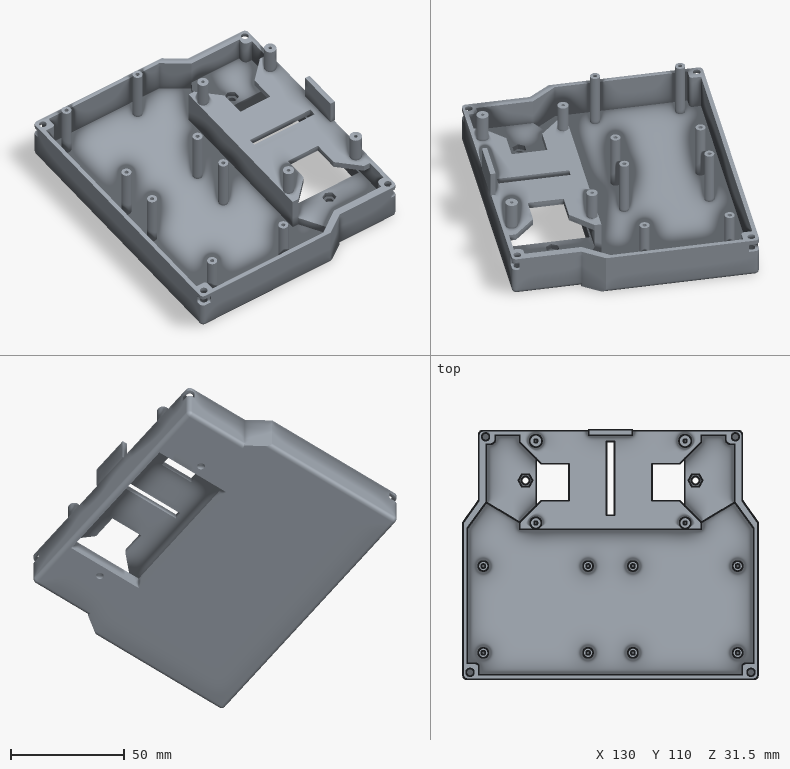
import cadquery as cq
import math


WIDTH = 130.0
TOTAL_DEPTH = 110.0
TAB_OVERHANG = 0.4
DEPTH = TOTAL_DEPTH - TAB_OVERHANG
HEIGHT = 19.0
WALL = 2.0
FLOOR = 3.0
EDGE_RADIUS = 2.0
NECK_WIDTH = 116.2
NECK_WALL = 3.4
SHOULDER_FRONT = 69.0
SHOULDER_BACK = 78.8
INNER_SHOULDER_FRONT = 66.5
INNER_SHOULDER_BACK = 78.0

DECK_HALF_WIDTH = 40.0
DECK_FRONT = 66.2
DECK_THICKNESS = 3.0
DECK_STRAIGHT = 3.0
DECK_BACK_STRAIGHT = 3.1
WINDOW_INNER_X = 18.3
WINDOW_FRONT = 78.8
WINDOW_BACK = 94.9
DECK_SLOT_WIDTH = 3.4
DECK_SLOT_FRONT = 72.4
DECK_SLOT_BACK = 104.8

THICK_FLOOR = 7.0
OPENING_HALF_WIDTH = 32.6
OPENING_MARGIN = 0.8

FLOOR_NUT_X = 37.5
FLOOR_NUT_Y = 87.6
FLOOR_NUT_FLATS = 5.5
FLOOR_NUT_DEPTH = 2.5
SCREW_DIAMETER = 3.4

BOSS_HOLE_INSET = 3.1
BACK_HOLE_INSET_Y = 2.7
FRONT_BOSS_SIZE = 7.0
FRONT_BOSS_RADIUS = 1.4
BACK_BOSS_SIZE_X = 7.4
BACK_BOSS_SIZE_Y = 6.0
BACK_BOSS_RADIUS = 2.2
NUT_SLOT_FLATS = 5.7
NUT_SLOT_COVER = 2.0
NUT_SLOT_HEIGHT = 3.9

BOARD_POST_DIAMETER = 4.4
BOARD_POST_HOLE = 1.8
BOARD_POST_TOP = 27.8
BOARD_POST_XS = (9.9, 56.0)
BOARD_POST_YS = (11.7, 49.9)

DECK_POST_X = 32.9
DECK_POST_HOLE = 1.5
DECK_POST_TOP = 31.5
DECK_POSTS = ((68.9, 5.0), (105.0, 5.5))

TAB_WIDTH = 19.4
TAB_THICKNESS = 2.3
TAB_TOP = 30.7

CAVITY_BACK = DEPTH - WALL


def box(x_min, x_max, y_min, y_max, z_min, z_max):
    return cq.Workplane("XY").box(
        x_max - x_min, y_max - y_min, z_max - z_min, centered=False
    ).translate((x_min, y_min, z_min))


def prism(points, z_min, z_max):
    return cq.Workplane("XY").workplane(offset=z_min).polyline(points).close().extrude(z_max - z_min)


def mirrored(points):
    """Close a right-hand outline with its reflection in the YZ plane."""
    return points + [(-x, y) for x, y in reversed(points)]


def cylinder(x, y, diameter, z_min, z_max):
    return cq.Workplane("XY").workplane(offset=z_min).center(x, y).circle(diameter / 2).extrude(z_max - z_min)


def hexagon(x, y, across_flats, z_min, z_max, turn=0.0):
    """Hexagonal prism with two corners on the X direction, turned by the given angle."""
    hexagon_prism = cq.Workplane("XY").polygon(6, across_flats / math.cos(math.pi / 6)).extrude(z_max - z_min)
    return hexagon_prism.rotate((0, 0, 0), (0, 0, 1), turn).translate((x, y, z_min))


def rounded_block(width):
    block = box(-width / 2, width / 2, 0, DEPTH, 0, HEIGHT)
    return block.edges("|Z").fillet(EDGE_RADIUS).faces("<Z").edges().fillet(EDGE_RADIUS)


def outer_body():
    shoulders = prism(
        mirrored([(WIDTH / 2, 0), (WIDTH / 2, SHOULDER_FRONT), (NECK_WIDTH / 2, SHOULDER_BACK)]), 0, HEIGHT
    )
    return rounded_block(WIDTH).intersect(shoulders).union(rounded_block(NECK_WIDTH))


def cavity():
    half_width = WIDTH / 2 - WALL
    neck_half_width = NECK_WIDTH / 2 - NECK_WALL
    outline = [
        (half_width, WALL),
        (half_width, INNER_SHOULDER_FRONT),
        (neck_half_width, INNER_SHOULDER_BACK),
        (neck_half_width, CAVITY_BACK),
    ]
    return prism(mirrored(outline), FLOOR, HEIGHT)


def thick_floor():
    neck_half_width = NECK_WIDTH / 2 - NECK_WALL
    outline = [
        (DECK_HALF_WIDTH, DECK_FRONT),
        (DECK_HALF_WIDTH, DECK_FRONT + DECK_STRAIGHT),
        (neck_half_width, INNER_SHOULDER_BACK),
        (neck_half_width, CAVITY_BACK),
    ]
    return prism(mirrored(outline), FLOOR, THICK_FLOOR)


def floor_opening():
    return box(
        -OPENING_HALF_WIDTH,
        OPENING_HALF_WIDTH,
        DECK_FRONT + DECK_STRAIGHT + OPENING_MARGIN,
        CAVITY_BACK - OPENING_MARGIN,
        0,
        THICK_FLOOR,
    )


def deck():
    front_corner = DECK_FRONT + DECK_STRAIGHT
    back_corner = CAVITY_BACK - DECK_BACK_STRAIGHT
    outline = [
        (DECK_HALF_WIDTH, DECK_FRONT),
        (DECK_HALF_WIDTH, front_corner),
        (DECK_HALF_WIDTH - (WINDOW_FRONT - front_corner), WINDOW_FRONT),
        (WINDOW_INNER_X, WINDOW_FRONT),
        (WINDOW_INNER_X, WINDOW_BACK),
        (DECK_HALF_WIDTH - (back_corner - WINDOW_BACK), WINDOW_BACK),
        (DECK_HALF_WIDTH, back_corner),
        (DECK_HALF_WIDTH, CAVITY_BACK),
    ]
    underside = HEIGHT - DECK_THICKNESS
    plate = prism(mirrored(outline), underside, HEIGHT)
    front_wall = box(-DECK_HALF_WIDTH, DECK_HALF_WIDTH, DECK_FRONT, front_corner, FLOOR, HEIGHT)
    slot = box(-DECK_SLOT_WIDTH / 2, DECK_SLOT_WIDTH / 2, DECK_SLOT_FRONT, DECK_SLOT_BACK, underside, HEIGHT)
    return plate.cut(slot).union(front_wall)


def corner_boss(side, is_back):
    """Block filling one cavity corner, with its free vertical edge rounded."""
    if is_back:
        x_min = NECK_WIDTH / 2 - BACK_BOSS_SIZE_X
        x_max = NECK_WIDTH / 2 - NECK_WALL
        block = box(x_min, x_max, DEPTH - BACK_BOSS_SIZE_Y, CAVITY_BACK, FLOOR, HEIGHT)
        block = block.faces("<X").edges("|Z").edges("<Y").fillet(BACK_BOSS_RADIUS)
    else:
        x_min = WIDTH / 2 - FRONT_BOSS_SIZE
        x_max = WIDTH / 2 - WALL
        block = box(x_min, x_max, WALL, FRONT_BOSS_SIZE, FLOOR, HEIGHT)
        block = block.faces("<X").edges("|Z").edges(">Y").fillet(FRONT_BOSS_RADIUS)
    return block if side > 0 else block.mirror("YZ")


def nut_slot(side, is_back):
    """Hexagonal nut slot open through the outer corner, with the screw hole crossing it."""
    z_max = HEIGHT - NUT_SLOT_COVER
    z_min = z_max - NUT_SLOT_HEIGHT
    half_face = NUT_SLOT_FLATS / 2 * math.tan(math.pi / 6)
    if is_back:
        x, y = NECK_WIDTH / 2 - BOSS_HOLE_INSET, DEPTH - BACK_HOLE_INSET_Y
        nut = hexagon(x, y, NUT_SLOT_FLATS, z_min, z_max)
        mouth = box(x - half_face, WIDTH / 2, y, TOTAL_DEPTH, z_min, z_max)
    else:
        x, y = WIDTH / 2 - BOSS_HOLE_INSET, BOSS_HOLE_INSET
        nut = hexagon(x, y, NUT_SLOT_FLATS, z_min, z_max, turn=90)
        mouth = box(x, WIDTH / 2, 0, y + half_face, z_min, z_max)
    slot = nut.union(mouth).union(cylinder(x, y, SCREW_DIAMETER, THICK_FLOOR, HEIGHT))
    return slot if side > 0 else slot.mirror("YZ")


def post(x, y, diameter, hole, z_min, z_max):
    return cylinder(x, y, diameter, z_min, z_max).cut(cylinder(x, y, hole, z_min, z_max))


tray = outer_body().cut(cavity()).union(thick_floor()).cut(floor_opening()).union(deck())

for side in (-1, 1):
    for is_back in (False, True):
        tray = tray.union(corner_boss(side, is_back)).cut(nut_slot(side, is_back))

    floor_nut = hexagon(
        side * FLOOR_NUT_X,
        FLOOR_NUT_Y,
        FLOOR_NUT_FLATS,
        THICK_FLOOR - FLOOR_NUT_DEPTH,
        THICK_FLOOR,
    )
    tray = tray.cut(floor_nut).cut(cylinder(side * FLOOR_NUT_X, FLOOR_NUT_Y, SCREW_DIAMETER, 0, THICK_FLOOR))

    for x in BOARD_POST_XS:
        for y in BOARD_POST_YS:
            tray = tray.union(post(side * x, y, BOARD_POST_DIAMETER, BOARD_POST_HOLE, FLOOR, BOARD_POST_TOP))

    for y, diameter in DECK_POSTS:
        tray = tray.union(post(side * DECK_POST_X, y, diameter, DECK_POST_HOLE, HEIGHT, DECK_POST_TOP))

tab = box(-TAB_WIDTH / 2, TAB_WIDTH / 2, TOTAL_DEPTH - TAB_THICKNESS, TOTAL_DEPTH, HEIGHT, TAB_TOP)
result = tray.union(tab)